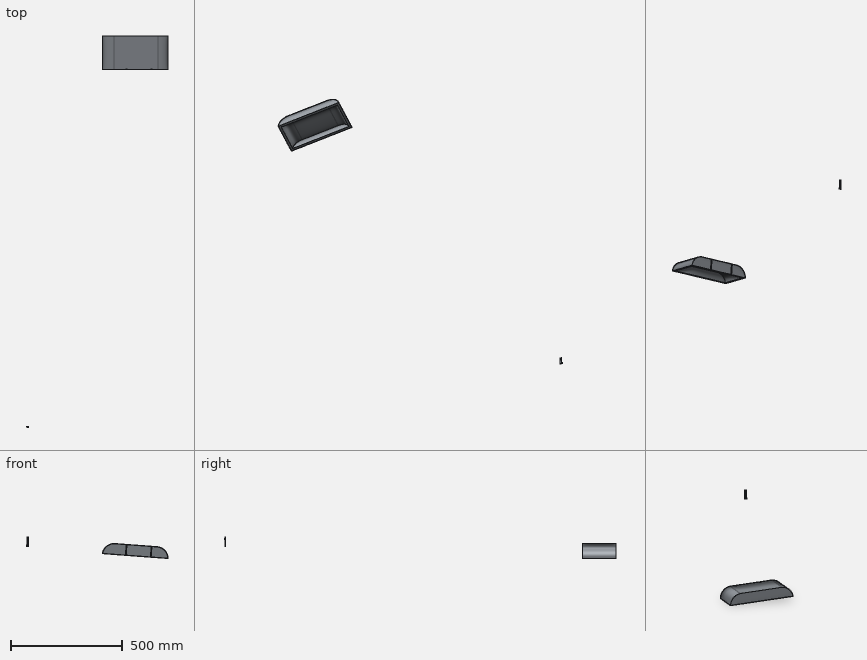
import cadquery as cq
import math

TOTAL_X = 634.0
TOTAL_Y = 1751.0
TOTAL_Z = 96.0

PAD_WIDTH = 150.0
PAD_LEFT = 340.0
PAD_LEFT_Z = 21.9
PAD_LENGTH = math.hypot(TOTAL_X - PAD_LEFT, PAD_LEFT_Z)
PAD_TILT = math.degrees(math.asin(PAD_LEFT_Z / PAD_LENGTH))
PAD_HEIGHT = 49.0
END_RUN = 49.0
END_BULGE = 9.0
WALL = 10.0

GROOVE_WIDTH = 4.0
GROOVE_DEPTH = 2.0
GROOVE_PLACES = (105.0, 217.0)

STRIP_WIDTH = 7.0
STRIP_HEIGHT = 42.0
STRIP_THICKNESS = 2.0
FOOT_LENGTH = 4.0
FOOT_HEIGHT = 5.0
PIN_RADIUS = 2.0
PIN_DROP = 9.0
PIN_PROJECTION = 2.0


def pad_profile(inset):
    """Side outline of the pad, with every wall except the bottom moved in by inset."""
    top = PAD_HEIGHT - inset
    left = inset
    right = PAD_LENGTH - inset
    middle_rise = top / 2 + END_BULGE
    return (
        cq.Workplane("XZ")
        .moveTo(left, 0)
        .threePointArc((left + END_RUN / 2 - END_BULGE, middle_rise), (left + END_RUN, top))
        .lineTo(right - END_RUN, top)
        .threePointArc((right - END_RUN / 2 + END_BULGE, middle_rise), (right, 0))
        .close()
    )


def make_pad():
    cavity = pad_profile(WALL).extrude(-(PAD_WIDTH - 2 * WALL)).translate((0, WALL, 0))
    pad = pad_profile(0).extrude(-PAD_WIDTH).cut(cavity)
    for place in GROOVE_PLACES:
        groove = cq.Workplane("XY").box(GROOVE_WIDTH, 2 * GROOVE_DEPTH, 2 * PAD_HEIGHT)
        pad = pad.cut(groove.translate((place, 0, 0)))
    pad = pad.rotate((0, 0, 0), (0, 1, 0), PAD_TILT)
    return pad.translate((PAD_LEFT, TOTAL_Y - PAD_WIDTH, PAD_LEFT_Z))


def pin_cylinder():
    return (
        cq.Workplane("XZ")
        .center(FOOT_LENGTH + STRIP_WIDTH / 2, TOTAL_Z - PIN_DROP)
        .circle(PIN_RADIUS)
        .extrude(-(PIN_PROJECTION + STRIP_THICKNESS))
    )


def make_strip():
    bottom = TOTAL_Z - STRIP_HEIGHT
    strip = (
        cq.Workplane("XY")
        .box(STRIP_WIDTH, STRIP_THICKNESS, STRIP_HEIGHT, centered=False)
        .translate((FOOT_LENGTH, PIN_PROJECTION, bottom))
    )
    foot = (
        cq.Workplane("XY")
        .box(FOOT_LENGTH, STRIP_THICKNESS, FOOT_HEIGHT, centered=False)
        .translate((0, PIN_PROJECTION, bottom))
    )
    return strip.union(foot).cut(pin_cylinder())


pad = make_pad()
strip = make_strip()
pin = pin_cylinder()

result = cq.Compound.makeCompound([pad.val(), strip.val(), pin.val()])